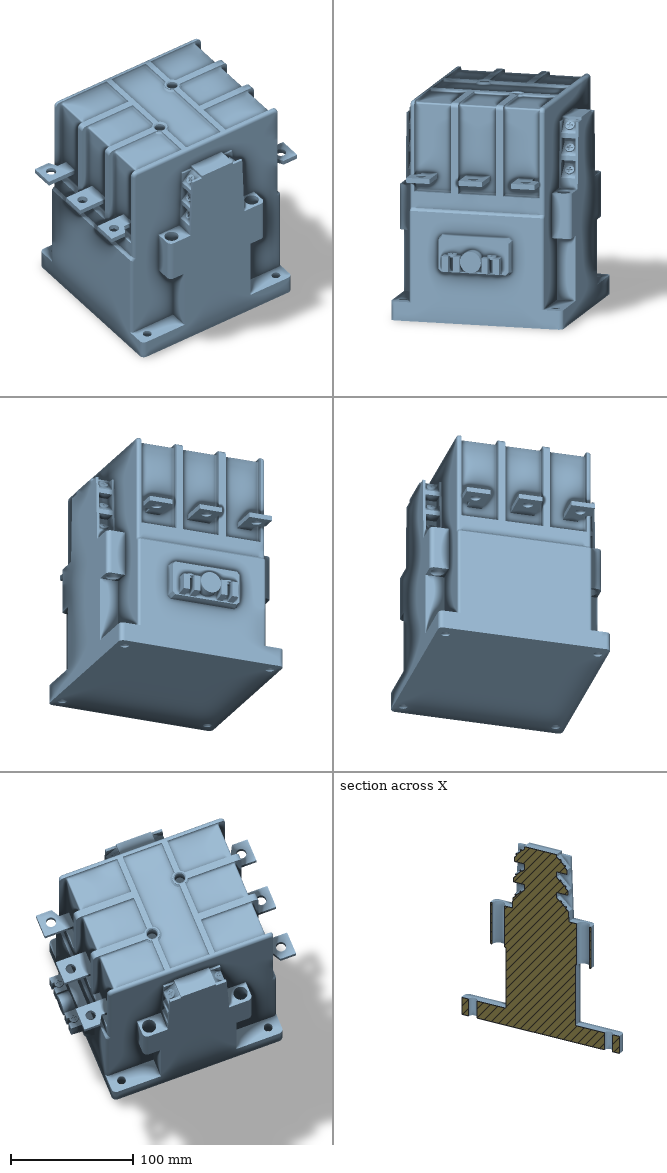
import cadquery as cq
import math

BASE_X, BASE_Y, BASE_Z = 146.0, 150.0, 15.8
CORNER_R = 4.0
TOTAL_Y = 186.0
TOTAL_Z = 184.0

HOUSING_X = 114.0
UPPER_Y = 145.4
SHOULDER_BOTTOM = 92.5
EDGE_R = 2.4

CHAMBER_BOTTOM = 108.3
CHAMBER_Y = 66.8
PANEL_Z = 181.9
PANEL_HALF_X = 53.3
RIB_X, RIB_X_WIDTH = 19.05, 5.9
RIB_Y, RIB_Y_WIDTH = 19.6, 4.8
PANEL_R = 1.4

BOSS_R, BOSS_HOLE_R, BOSS_HOLE_DEPTH = 6.2, 4.3, 10.0
BOSS_CHAMFER = 0.9

SIDE_HOLE_X = 64.7
MOUNT_HOLE_Y, MOUNT_HOLE_R = 64.5, 3.6
EAR_HOLE_Y, EAR_HOLE_R = 40.2, 5.8

EAR_BOTTOM, EAR_TOP, EAR_HALF_Y = 70.4, 108.0, 47.8
FOOT_HALF_Y = 33.2
TOWER_ROOT_HALF_Y = 27.0
TOWER_TIP_HALF_Y, TOWER_TIP_Z = 24.8, 163.6
CAP_HALF_Y, CAP_Z = 15.4, 166.0

WINDOW_X, WINDOW_WIDTH = 64.8, 12.0
WINDOW_BOTTOMS = (154.0, 135.4, 116.8)
WINDOW_HEIGHT = 14.6
SEAT_RISE = 10.0
SCREW_R, SCREW_HEIGHT = 3.8, 1.5
CROSS_LENGTH, CROSS_WIDTH, CROSS_DEPTH = 5.0, 1.2, 1.0

BAR_PITCH, BAR_WIDTH = 44.5, 20.0
BAR_BOTTOM, BAR_THICK = 119.8, 4.0
BAR_NECK = 12.6
BAR_NECK_END_Y, BAR_FLARE_END_Y = 75.3, 79.4
BAR_HOLE_Y, BAR_HOLE_R = 83.7, 4.2

COIL_DEPTH = 8.0
COIL_HALF_X, COIL_BOTTOM, COIL_TOP = 31.0, 43.6, 75.0
COIL_DRAFT = 1.2
COIL_CHAMFER = 2.4
BARREL_R, BARREL_Z = 8.9, 56.1
LUG_X, LUG_WIDTH, LUG_TOP = 16.8, 15.0, 60.0
LUG_BOTTOM_ROOT, LUG_BOTTOM_TIP = 45.6, 47.0
LUG_SLOT = 4.3
LUG_SCREW_Y = 87.6

OVERLAP = 5.0


def block(x0, x1, y0, y1, z0, z1):
    """Box between opposite corners."""
    return cq.Workplane("XY").box(x1 - x0, y1 - y0, z1 - z0, centered=False).translate((x0, y0, z0))


def yz_prism(points, x0, x1):
    """Prism with a closed (y, z) outline, running from x0 to x1."""
    return cq.Workplane("YZ").polyline(points).close().extrude(x1 - x0).translate((x0, 0, 0))


def mirrored_x(shape):
    return shape.union(shape.mirror("YZ"))


def base():
    return cq.Workplane("XY").rect(BASE_X, BASE_Y).extrude(BASE_Z).edges("|Z").fillet(CORNER_R)


def housing():
    half_low, half_up = BASE_Y / 2, UPPER_Y / 2
    shoulder_top = SHOULDER_BOTTOM + half_low - half_up
    outline = [
        (-half_low, 0), (half_low, 0), (half_low, SHOULDER_BOTTOM), (half_up, shoulder_top),
        (half_up, TOTAL_Z), (-half_up, TOTAL_Z), (-half_up, shoulder_top), (-half_low, SHOULDER_BOTTOM),
    ]
    body = yz_prism(outline, -HOUSING_X / 2, HOUSING_X / 2)
    body = body.edges("|X and >Z").fillet(CORNER_R)
    rim = body.faces("<X or >X").edges("not <Z")
    return rim.fillet(EDGE_R)


def chamber_tool(x0, x1):
    """L-shaped cutter that sinks one chamber's top panel and +Y panel."""
    inner_y = RIB_Y + RIB_Y_WIDTH / 2
    outer_y = UPPER_Y / 2 + OVERLAP
    top = TOTAL_Z + OVERLAP
    outline = [
        (inner_y, PANEL_Z), (CHAMBER_Y, PANEL_Z), (CHAMBER_Y, CHAMBER_BOTTOM),
        (outer_y, CHAMBER_BOTTOM), (outer_y, top), (inner_y, top),
    ]
    tool = yz_prism(outline, x0, x1)
    mid_x = (x0 + x1) / 2
    top_panel = cq.NearestToPointSelector((mid_x, (inner_y + CHAMBER_Y) / 2, PANEL_Z))
    side_panel = cq.NearestToPointSelector((mid_x, CHAMBER_Y, (CHAMBER_BOTTOM + PANEL_Z) / 2))
    panel_edges = tool.faces(top_panel).edges().add(tool.faces(side_panel).edges())
    return panel_edges.fillet(PANEL_R)


def sink_panels(body):
    rib_inner = RIB_X - RIB_X_WIDTH / 2
    rib_outer = RIB_X + RIB_X_WIDTH / 2
    columns = ((-PANEL_HALF_X, -rib_outer), (-rib_inner, rib_inner), (rib_outer, PANEL_HALF_X))
    for x0, x1 in columns:
        tool = chamber_tool(x0, x1)
        body = body.cut(tool).cut(tool.mirror("XZ"))
    label_half_y = RIB_Y - RIB_Y_WIDTH / 2
    label = block(-PANEL_HALF_X, PANEL_HALF_X, -label_half_y, label_half_y, PANEL_Z, TOTAL_Z + OVERLAP)
    return body.cut(label.faces("<Z").edges().fillet(PANEL_R))


def upright_cone(x, y, z, bottom_radius, top_radius, height):
    return cq.Workplane(cq.Solid.makeCone(bottom_radius, top_radius, height, cq.Vector(x, y, z)))


def add_cover_bosses(body):
    """Bosses with a flared foot and a chamfered blind hole, where the ribs cross."""
    spots = [(-RIB_X, RIB_Y), (RIB_X, -RIB_Y)]
    plane = cq.Workplane("XY", origin=(0, 0, TOTAL_Z - BOSS_HOLE_DEPTH)).pushPoints(spots)
    bosses = plane.circle(BOSS_R).extrude(BOSS_HOLE_DEPTH)
    cutters = plane.circle(BOSS_HOLE_R).extrude(BOSS_HOLE_DEPTH)
    mouth_r = BOSS_HOLE_R + BOSS_CHAMFER
    for x, y in spots:
        foot = upright_cone(x, y, PANEL_Z, BOSS_R + PANEL_R, BOSS_R, PANEL_R)
        mouth = upright_cone(x, y, TOTAL_Z - BOSS_CHAMFER, BOSS_HOLE_R, mouth_r, BOSS_CHAMFER)
        bosses = bosses.union(foot)
        cutters = cutters.union(mouth)
    return body.union(bosses).cut(cutters)


def tower_half_y(z):
    """Half width of the tapered tower at height z."""
    share = (z - EAR_TOP) / (TOWER_TIP_Z - EAR_TOP)
    return TOWER_ROOT_HALF_Y + share * (TOWER_TIP_HALF_Y - TOWER_ROOT_HALF_Y)


def screw(seat):
    """Cross-recessed screw standing on the given seat plane, with a short shank below it."""
    head = seat.circle(SCREW_R).extrude(SCREW_HEIGHT)
    floor = seat.workplane(offset=SCREW_HEIGHT - CROSS_DEPTH)
    head = head.cut(floor.rect(CROSS_LENGTH, CROSS_WIDTH).extrude(CROSS_DEPTH))
    head = head.cut(floor.rect(CROSS_WIDTH, CROSS_LENGTH).extrude(CROSS_DEPTH))
    shank = seat.circle(SCREW_R / 2).extrude(-SCREW_HEIGHT)
    return head.union(shank)


def window_screw(bottom):
    """Screw on the middle of a sloped window seat."""
    run = tower_half_y(bottom) - CAP_HALF_Y
    centre = (WINDOW_X, CAP_HALF_Y + run / 2, bottom + SEAT_RISE / 2)
    return screw(cq.Workplane(cq.Plane(origin=centre, xDir=(1, 0, 0), normal=(0, SEAT_RISE, run))))


def window_tool(bottom):
    """Cutter with a flat roof, an upright back and a seat that slopes out and down."""
    edge_y = tower_half_y(bottom)
    slope = SEAT_RISE / (edge_y - CAP_HALF_Y)
    outer_y = edge_y + OVERLAP
    roof = bottom + WINDOW_HEIGHT
    outline = [
        (CAP_HALF_Y, bottom + SEAT_RISE), (outer_y, bottom - OVERLAP * slope),
        (outer_y, roof), (CAP_HALF_Y, roof),
    ]
    return yz_prism(outline, WINDOW_X - WINDOW_WIDTH / 2, WINDOW_X + WINDOW_WIDTH / 2)


def tower():
    """Tower on the +X side: foot, ears with bolt holes, tapered column and cap."""
    x0, x1 = HOUSING_X / 2 - OVERLAP, BASE_X / 2
    foot = block(x0, x1, -FOOT_HALF_Y, FOOT_HALF_Y, 0, EAR_BOTTOM)
    ears = block(x0, x1, -EAR_HALF_Y, EAR_HALF_Y, EAR_BOTTOM, EAR_TOP)
    ears = ears.edges("|Z and >X").fillet(CORNER_R)
    spots = [(SIDE_HOLE_X, EAR_HOLE_Y), (SIDE_HOLE_X, -EAR_HOLE_Y)]
    bolt_holes = cq.Workplane("XY", origin=(0, 0, EAR_BOTTOM)).pushPoints(spots).circle(EAR_HOLE_R)
    ears = ears.cut(bolt_holes.extrude(EAR_TOP - EAR_BOTTOM))
    outline = [
        (-TOWER_ROOT_HALF_Y, EAR_TOP), (TOWER_ROOT_HALF_Y, EAR_TOP), (TOWER_TIP_HALF_Y, TOWER_TIP_Z),
        (CAP_HALF_Y, TOWER_TIP_Z), (CAP_HALF_Y, CAP_Z), (-CAP_HALF_Y, CAP_Z),
        (-CAP_HALF_Y, TOWER_TIP_Z), (-TOWER_TIP_HALF_Y, TOWER_TIP_Z),
    ]
    column = yz_prism(outline, x0, x1)
    for bottom in WINDOW_BOTTOMS:
        window = window_tool(bottom)
        fastener = window_screw(bottom)
        column = column.cut(window).cut(window.mirror("XZ"))
        column = column.union(fastener).union(fastener.mirror("XZ"))
    return foot.union(ears).union(column)


def cut_mounting_holes(body):
    holes = cq.Workplane("XY").rect(2 * SIDE_HOLE_X, 2 * MOUNT_HOLE_Y, forConstruction=True).vertices()
    return body.cut(holes.circle(MOUNT_HOLE_R).extrude(BASE_Z))


def busbars():
    """The three terminals on the +Y side: a plain middle bar and two bars with notched outer sides."""
    root_y, tip_y = CHAMBER_Y - OVERLAP, TOTAL_Y / 2
    inner_x = BAR_PITCH - BAR_WIDTH / 2
    outer_x = BAR_PITCH + BAR_WIDTH / 2
    neck_x = inner_x + BAR_NECK
    outline = [
        (inner_x, root_y), (neck_x, root_y), (neck_x, BAR_NECK_END_Y),
        (outer_x, BAR_FLARE_END_Y), (outer_x, tip_y), (inner_x, tip_y),
    ]
    plane = cq.Workplane("XY", origin=(0, 0, BAR_BOTTOM))
    bars = mirrored_x(plane.polyline(outline).close().extrude(BAR_THICK))
    middle = block(-BAR_WIDTH / 2, BAR_WIDTH / 2, root_y, tip_y, BAR_BOTTOM, BAR_BOTTOM + BAR_THICK)
    spots = [(x, BAR_HOLE_Y) for x in (-BAR_PITCH, 0, BAR_PITCH)]
    holes = plane.pushPoints(spots).circle(BAR_HOLE_R).extrude(BAR_THICK)
    return bars.union(middle).cut(holes)


def coil_lug():
    """Slotted lug of the coil connector, with its terminal screw."""
    root_y, tip_y = BASE_Y / 2 + COIL_DEPTH, TOTAL_Y / 2
    x0, x1 = LUG_X - LUG_WIDTH / 2, LUG_X + LUG_WIDTH / 2
    outline = [(root_y, LUG_BOTTOM_ROOT), (tip_y, LUG_BOTTOM_TIP), (tip_y, LUG_TOP), (root_y, LUG_TOP)]
    lug = yz_prism(outline, x0, x1)
    lug = lug.cut(block(LUG_X - LUG_SLOT / 2, LUG_X + LUG_SLOT / 2, root_y, tip_y, 0, LUG_TOP))
    return lug.union(screw(cq.Workplane("XY", origin=(LUG_X, LUG_SCREW_Y, LUG_TOP))))


def coil_connector():
    wall_y = BASE_Y / 2
    face_y = wall_y + COIL_DEPTH
    height = COIL_TOP - COIL_BOTTOM
    taper = math.degrees(math.atan(COIL_DRAFT / COIL_DEPTH))
    centre = (0, -wall_y, (COIL_TOP + COIL_BOTTOM) / 2)
    plate = cq.Workplane("XZ", origin=centre).rect(2 * COIL_HALF_X, height).extrude(COIL_DEPTH, taper=taper)
    plate = plate.edges("not #Y").chamfer(COIL_CHAMFER).mirror("XZ")
    barrel = cq.Workplane("XZ", origin=(0, TOTAL_Y / 2, BARREL_Z)).circle(BARREL_R)
    barrel = barrel.extrude(TOTAL_Y / 2 - face_y + COIL_DEPTH)
    return plate.union(barrel).union(mirrored_x(coil_lug()))


result = add_cover_bosses(sink_panels(housing()))
result = result.union(base()).union(mirrored_x(tower()))
result = cut_mounting_holes(result)
bars = busbars()
result = result.union(bars).union(bars.mirror("XZ"))
result = result.union(coil_connector())